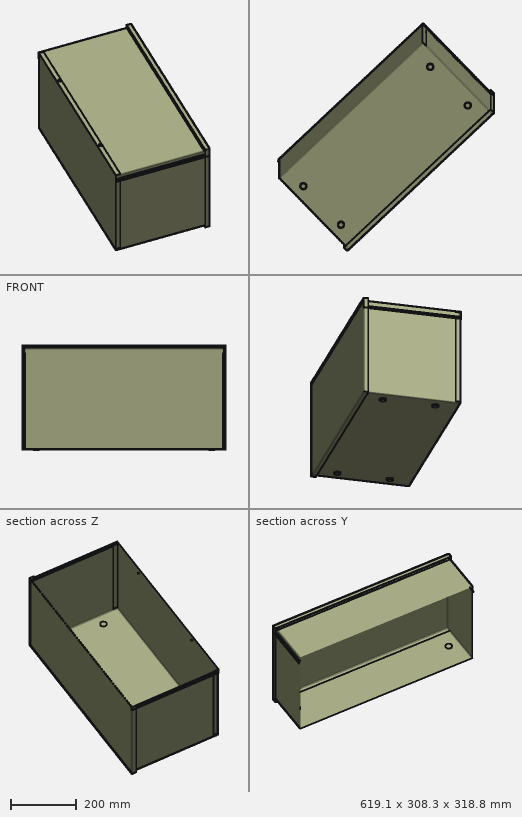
import cadquery as cq

SHEET = 1.52
BEND_INNER = 0.4
BEND_OUTER = BEND_INNER + SHEET

BEZEL_WIDTH = 619.12
BEZEL_HEIGHT = 317.5
BEZEL_DEPTH = 15.875
TOTAL_DEPTH = 308.27
TOTAL_HEIGHT = 318.8
BEZEL_CORNER_RADIUS = 1.9
BEZEL_BEND_INNER = 0.9

COVER_WIDTH = 609.6
COVER_DROP = 7.0
FOOT_HEIGHT = 3.7

REAR_Y = -TOTAL_DEPTH / 2
FRONT_Y = TOTAL_DEPTH / 2
BEZEL_INNER_Y = FRONT_Y - SHEET
BODY_DEPTH = BEZEL_INNER_Y - REAR_Y
TOP_Z = TOTAL_HEIGHT / 2
FEET_BOTTOM_Z = -TOTAL_HEIGHT / 2
COVER_TOP_Z = TOP_Z - COVER_DROP
BASE_TOP_Z = COVER_TOP_Z - SHEET
BASE_BOTTOM_Z = FEET_BOTTOM_Z + FOOT_HEIGHT
BASE_WIDTH = COVER_WIDTH - 2 * SHEET

SIDE_WALL_TOP_Z = 135.2
FLANGE_WIDTH = 15.875
TAB_BOTTOM_GAP = 5.0

STEP_TOP_Z = 133.2
STEP_BOTTOM_Z = 128.6
LIP_BOTTOM_Z = 126.6
LIP_OFFSET = 1.8

SCREW_SPACING = 319.0
SCREW_EDGE_DISTANCE = 9.525
COVER_HOLE_DIAMETER = 6.35
SHANK_DIAMETER = 4.83
SHANK_LENGTH = 12.7
WASHER_DIAMETER = 10.52
WASHER_THICKNESS = 0.6
HEAD_DIAMETER = 7.92
HEAD_TOP_DIAMETER = 7.14
HEAD_HEIGHT = 1.9
SOCKET_DIAMETER = 3.68
SOCKET_DEPTH = 1.2
SCREW_Y = REAR_Y + SCREW_EDGE_DISTANCE
SCREW_PLACES = [(side * SCREW_SPACING / 2, SCREW_Y) for side in (-1, 1)]

FOOT_SPACING_X = 533.4
FOOT_SPACING_Y = 165.1
FEET_MIDDLE_Y = -1.0
FOOT_DIAMETER = 20.6
FOOT_CHAMFER_WIDTH = 2.1
FOOT_CHAMFER_HEIGHT = 1.5


def block(width, y_range, z_range):
    """Box centred on X between the given Y and Z limits."""
    y_low, y_high = y_range
    z_low, z_high = z_range
    return (
        cq.Workplane("XY", origin=(0, (y_low + y_high) / 2, z_low))
        .box(width, y_high - y_low, z_high - z_low, centered=(True, True, False))
    )


def disc(diameter, place, z_low, z_high):
    """Upright cylinder at an (x, y) place between two heights."""
    x, y = place
    return cq.Workplane("XY", origin=(x, y, z_low)).circle(diameter / 2).extrude(z_high - z_low)


def make_bezel():
    """Shallow tray across the +Y end, its rim pointing to -Y."""
    outer_z = (TOP_Z - BEZEL_HEIGHT, TOP_Z)
    inner_z = (outer_z[0] + SHEET, outer_z[1] - SHEET)
    rim_y = FRONT_Y - BEZEL_DEPTH
    outer = block(BEZEL_WIDTH, (rim_y, FRONT_Y), outer_z)
    outer = outer.edges("|Y").fillet(BEZEL_CORNER_RADIUS)
    outer = outer.faces(">Y").edges().fillet(BEZEL_BEND_INNER + SHEET)
    inner = block(BEZEL_WIDTH - 2 * SHEET, (rim_y, BEZEL_INNER_Y), inner_z)
    inner = inner.faces(">Y").edges().fillet(BEZEL_BEND_INNER)
    return outer.cut(inner)


def make_base():
    """Tray with low sides, full-height end walls with inward top flanges, and rear corner tabs."""
    inner_width = BASE_WIDTH - 2 * SHEET
    inner_y = (REAR_Y + SHEET, BEZEL_INNER_Y - SHEET)
    inner_z = (BASE_BOTTOM_Z + SHEET, BASE_TOP_Z - SHEET)
    outer = block(BASE_WIDTH, (REAR_Y, BEZEL_INNER_Y), (BASE_BOTTOM_Z, BASE_TOP_Z))
    outer = outer.edges().fillet(BEND_OUTER)
    inner = block(inner_width, inner_y, inner_z).edges().fillet(BEND_INNER)
    shell = outer.cut(inner)

    flange_edges = (REAR_Y + FLANGE_WIDTH, BEZEL_INNER_Y - FLANGE_WIDTH)
    tab_z = (BASE_BOTTOM_Z + TAB_BOTTOM_GAP, SIDE_WALL_TOP_Z)
    tab_y = (REAR_Y + SHEET / 2, flange_edges[0])
    tabs = block(inner_width + SHEET, tab_y, tab_z)
    tabs = tabs.cut(block(inner_width - 2 * SHEET, tab_y, tab_z))
    shell = shell.union(tabs)

    above_sides = (SIDE_WALL_TOP_Z, BASE_TOP_Z)
    opening = block(BASE_WIDTH, flange_edges, above_sides)
    side_strips = block(BASE_WIDTH, inner_y, above_sides)
    side_strips = side_strips.cut(block(inner_width - 2 * BEND_INNER, inner_y, above_sides))
    base = shell.cut(opening).cut(side_strips)
    for place in SCREW_PLACES:
        base = base.cut(disc(SHANK_DIAMETER, place, inner_z[1], BASE_TOP_Z))
    return base


def stepped_flange_points(inset):
    """Section points of the right side flange, from its outward step down to its lower end."""
    half = COVER_WIDTH / 2 - inset
    return [
        (half, STEP_TOP_Z),
        (half + LIP_OFFSET, STEP_BOTTOM_Z),
        (half + LIP_OFFSET, LIP_BOTTOM_Z),
    ]


def cover_solid(inset):
    """Solid bounded by the cover section moved inward by the given inset."""
    right = stepped_flange_points(inset)
    left = [(-x, z) for x, z in reversed(right)]
    top = COVER_TOP_Z - inset
    half = COVER_WIDTH / 2 - inset
    points = [(-half, top), (half, top)] + right + left
    profile = cq.Workplane("XZ", origin=(0, BEZEL_INNER_Y, 0)).polyline(points).close()
    solid = profile.extrude(BODY_DEPTH)
    return solid.edges("|Y and >Z").fillet(BEND_OUTER - inset)


def make_cover():
    """Channel over the top with short side flanges that step outward at their lower ends."""
    cover = cover_solid(0).cut(cover_solid(SHEET))
    for place in SCREW_PLACES:
        cover = cover.cut(disc(COVER_HOLE_DIAMETER, place, BASE_TOP_Z, COVER_TOP_Z))
    return cover


def make_screw(place):
    """Washer-head screw through the cover into the rear flange of the base."""
    head_top = COVER_TOP_Z + HEAD_HEIGHT
    shank_bottom = COVER_TOP_Z - SHANK_LENGTH
    washer = disc(WASHER_DIAMETER, place, COVER_TOP_Z, COVER_TOP_Z + WASHER_THICKNESS)
    head = disc(HEAD_DIAMETER, place, COVER_TOP_Z, head_top)
    head = head.faces(">Z").chamfer((HEAD_DIAMETER - HEAD_TOP_DIAMETER) / 2)
    socket = disc(SOCKET_DIAMETER, place, head_top - SOCKET_DEPTH, head_top)
    shank = disc(SHANK_DIAMETER, place, shank_bottom, COVER_TOP_Z)
    return washer.union(head).union(shank).cut(socket)


def make_foot(place):
    """Round foot under the base with a chamfered lower rim."""
    foot = disc(FOOT_DIAMETER, place, FEET_BOTTOM_Z, BASE_BOTTOM_Z)
    return foot.faces("<Z").chamfer(FOOT_CHAMFER_HEIGHT, FOOT_CHAMFER_WIDTH)


bezel = make_bezel()
base = make_base()
cover = make_cover()
screws = [make_screw(place) for place in SCREW_PLACES]
foot_places = [
    (side_x * FOOT_SPACING_X / 2, FEET_MIDDLE_Y + side_y * FOOT_SPACING_Y / 2)
    for side_x in (-1, 1)
    for side_y in (-1, 1)
]
feet = [make_foot(place) for place in foot_places]

bodies = [bezel, base, cover] + screws + feet
result = cq.Compound.makeCompound([body.val() for body in bodies])